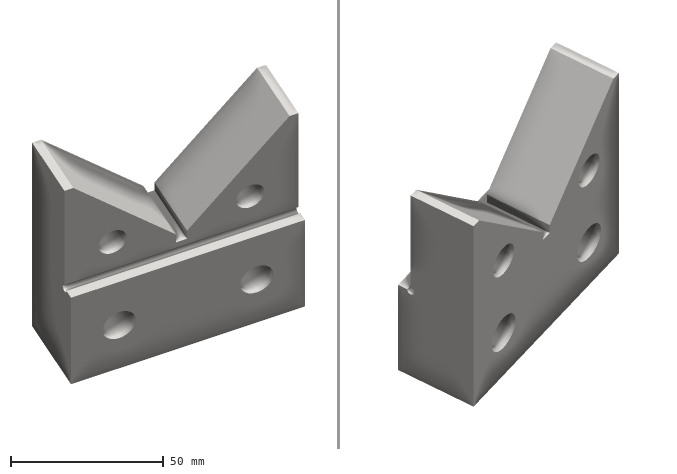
import cadquery as cq

thickness = 30.0
width = 85.0
height = 85.0

upper_thickness = 25.0
step_height = 40.0
relief_diameter = 3.0

land_width = 3.2
slot_width = 4.0
slot_floor = 44.0
vee_half_width = width / 2 - land_width
vee_root_height = height - vee_half_width

hole_spacing = 50.0
upper_hole_diameter = 10.2
upper_hole_height = 54.0
lower_hole_diameter = 12.0
lower_hole_height = 20.0
hole_chamfer = 1.0


def stepped_block():
    """L-shaped side profile, extruded across the width."""
    profile = [
        (0, 0),
        (thickness, 0),
        (thickness, step_height),
        (upper_thickness, step_height),
        (upper_thickness, height),
        (0, height),
    ]
    return cq.Workplane("XZ").polyline(profile).close().extrude(width / 2, both=True)


def corner_relief():
    """Round groove running the full width along the inner corner of the step."""
    return (
        cq.Workplane("XZ", origin=(0, width / 2, 0))
        .center(upper_thickness, step_height)
        .circle(relief_diameter / 2)
        .extrude(width)
    )


def vee_opening():
    """V cut and root slot, both passing through the thickness."""
    vee = (
        cq.Workplane("YZ")
        .polyline([(-vee_half_width, height), (vee_half_width, height), (0, vee_root_height)])
        .close()
        .extrude(thickness)
    )
    slot = cq.Workplane("XY").box(
        thickness, slot_width, height - slot_floor, centered=(False, True, False)
    )
    return vee.union(slot.translate((0, 0, slot_floor)))


def chamfered_hole(y, z, diameter):
    """Through hole along X, revolved about its axis with a 45 degree entry."""
    radius = diameter / 2
    half_section = [
        (0, 0),
        (0, radius + hole_chamfer),
        (hole_chamfer, radius),
        (thickness, radius),
        (thickness, 0),
    ]
    hole = cq.Workplane("XY").polyline(half_section).close().revolve(360, (0, 0), (1, 0))
    return hole.translate((0, y, z))


result = stepped_block().cut(corner_relief()).cut(vee_opening())

for y in (-hole_spacing / 2, hole_spacing / 2):
    result = result.cut(chamfered_hole(y, upper_hole_height, upper_hole_diameter))
    result = result.cut(chamfered_hole(y, lower_hole_height, lower_hole_diameter))